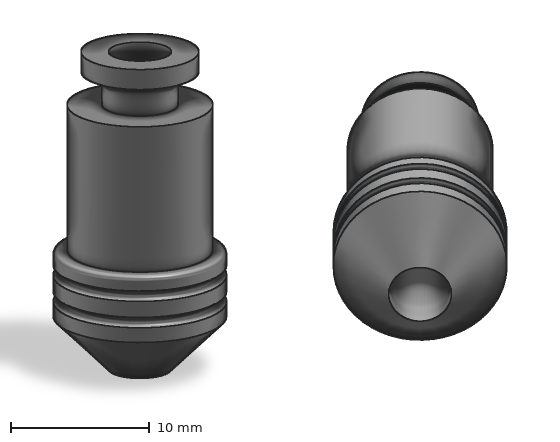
import cadquery as cq

BORE_DIAMETER = 4.5
NECK_DIAMETER = 5.5
HEAD_DIAMETER = 8.5
BARREL_DIAMETER = 10.5
COLLAR_DIAMETER = 12.5

bore_radius = BORE_DIAMETER / 2
collar_radius = COLLAR_DIAMETER / 2

TOTAL_HEIGHT = 24.0
HEAD_THICKNESS = 1.5
NECK_LENGTH = 2.5
COLLAR_TOP = 9.0

nose_height = collar_radius - bore_radius
barrel_top = TOTAL_HEIGHT - HEAD_THICKNESS - NECK_LENGTH

COLLAR_ROUNDING = 0.35
GROOVE_RADIUS = 0.38
GROOVE_CENTERS = (5.5, 7.5)


def tube(diameter, bottom, top):
    """Cylinder between two heights with the common bore through it."""
    return (
        cq.Workplane("XY")
        .workplane(offset=bottom)
        .circle(diameter / 2)
        .circle(bore_radius)
        .extrude(top - bottom)
    )


def make_collet():
    """Release collet: a flanged head on a neck that rests on the barrel."""
    neck_top = barrel_top + NECK_LENGTH
    neck = tube(NECK_DIAMETER, barrel_top, neck_top)
    head = tube(HEAD_DIAMETER, neck_top, TOTAL_HEIGHT)
    return neck.union(head)


def make_barrel():
    """Plain bored cylinder standing on the nose collar."""
    return tube(BARREL_DIAMETER, COLLAR_TOP, barrel_top)


def make_nose():
    """Conical nose with a grooved collar, revolved from its half section."""
    section = (
        cq.Workplane("XZ")
        .moveTo(bore_radius, 0)
        .lineTo(collar_radius, nose_height)
    )
    for center in GROOVE_CENTERS:
        section = section.lineTo(collar_radius, center - GROOVE_RADIUS)
        section = section.threePointArc(
            (collar_radius - GROOVE_RADIUS, center),
            (collar_radius, center + GROOVE_RADIUS),
        )
    section = section.lineTo(collar_radius, COLLAR_TOP).lineTo(bore_radius, COLLAR_TOP).close()
    nose = section.revolve(360, (0, 0, 0), (0, 1, 0))
    collar_rim = nose.faces(">Z").edges(cq.selectors.RadiusNthSelector(-1))
    return collar_rim.fillet(COLLAR_ROUNDING)


collet = make_collet()
barrel = make_barrel()
nose = make_nose()

result = cq.Compound.makeCompound([collet.val(), barrel.val(), nose.val()])